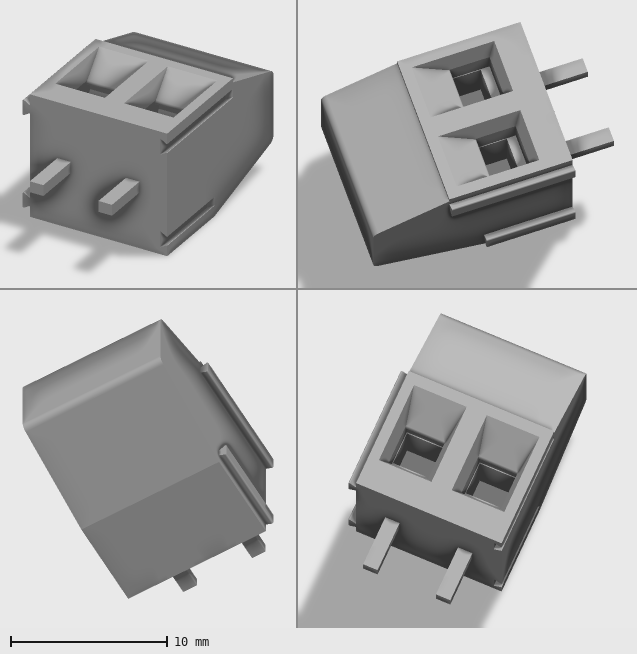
import cadquery as cq
import math


POLE_COUNT = 2
POLE_WIDTH = 5.08
HOUSING_LENGTH = 13.5
HOUSING_HEIGHT = 9.0
MID_HEIGHT = HOUSING_HEIGHT / 2
TOP_FLAT_LENGTH = 8.35
BOTTOM_FLAT_LENGTH = 6.0
SHOULDER_STEP = 0.3
NOSE_TOP_DROP = 1.94
NOSE_BOTTOM_RISE = 1.97
NOSE_RADIUS = 0.5

TOTAL_LENGTH = 17
PIN_LENGTH = TOTAL_LENGTH - HOUSING_LENGTH
PIN_WIDTH = 1.0
PIN_HEIGHT = 0.8

DOVETAIL_OFFSET = 3.4
DOVETAIL_DEPTH = 0.55
NECK_HALF_HEIGHT = 0.32
NECK_DEPTH = 0.05
FLARE = 0.29
RIB_TIP_RADIUS = 0.08
RIB_NECK_RADIUS = 0.15

FUNNEL_WIDTH = 3.67
FUNNEL_START = 2.02
FUNNEL_END = 7.6
FUNNEL_DEPTH = 1.2

CHAMBER_WIDTH = 2.74
CHAMBER_START = 2.5
CHAMBER_END = 5.29

SLOT_WIDTH = 2.65
SLOT_START = 3.11
SLOT_FLOOR = 3.06
LEDGE_HEIGHT = 6.27

LIP_OVERHANG = 0.1
LIP_ROUND_HEIGHT = 0.19
LIP_THICKNESS = 0.27
RECESS_DEPTH = 0.46
ROLLER_RADIUS = 1.05
ROLLER_SETBACK = 0.2
ROLLER_HEIGHT = LEDGE_HEIGHT
SLOT_SETBACK = 0.14

FUNNEL_FLOOR = HOUSING_HEIGHT - FUNNEL_DEPTH
LIP_FRONT = CHAMBER_END - LIP_OVERHANG
LIP_BOTTOM = FUNNEL_FLOOR - LIP_THICKNESS


def box_between(x_range, y_range, z_range):
    """Box spanning the three given ranges."""
    size = [high - low for low, high in (x_range, y_range, z_range)]
    corner = (x_range[0], y_range[0], z_range[0])
    return cq.Workplane("XY").box(*size, centered=False).translate(corner)


def shell_block():
    """Plain housing of one pole, centred on X = 0."""
    outline = [
        (0, 0),
        (BOTTOM_FLAT_LENGTH, 0),
        (HOUSING_LENGTH, NOSE_BOTTOM_RISE),
        (HOUSING_LENGTH, HOUSING_HEIGHT - NOSE_TOP_DROP),
        (TOP_FLAT_LENGTH, HOUSING_HEIGHT - SHOULDER_STEP),
        (TOP_FLAT_LENGTH, HOUSING_HEIGHT),
        (0, HOUSING_HEIGHT),
    ]
    block = cq.Workplane("YZ").polyline(outline).close().extrude(POLE_WIDTH / 2, both=True)
    return block.edges("|X and >Y").fillet(NOSE_RADIUS)


def pin():
    """Square-cut solder pin, centred on the pin-side face."""
    return box_between(
        (-PIN_WIDTH / 2, PIN_WIDTH / 2),
        (-PIN_LENGTH, 0),
        (MID_HEIGHT - PIN_HEIGHT / 2, MID_HEIGHT + PIN_HEIGHT / 2),
    )


def dovetail(root_x, center_z, length):
    """Sharp-edged dovetail bar along Y that widens towards -X from its root."""
    tip_half_height = NECK_HALF_HEIGHT + FLARE
    neck_x = root_x - NECK_DEPTH
    tip_x = root_x - DOVETAIL_DEPTH
    outline = [
        (root_x, center_z - NECK_HALF_HEIGHT),
        (neck_x, center_z - NECK_HALF_HEIGHT),
        (tip_x, center_z - tip_half_height),
        (tip_x, center_z + tip_half_height),
        (neck_x, center_z + NECK_HALF_HEIGHT),
        (root_x, center_z + NECK_HALF_HEIGHT),
    ]
    return cq.Workplane("XZ").polyline(outline).close().extrude(-length)


def rib(center_z, length):
    """Dovetail rib with rounded tip and rounded neck."""
    root_x = -POLE_WIDTH / 2
    bar = dovetail(root_x, center_z, length)
    bar = bar.edges("|Y and <X").fillet(RIB_TIP_RADIUS)
    neck_edges = cq.selectors.BoxSelector(
        (root_x - NECK_DEPTH * 1.5, 0, 0),
        (root_x - NECK_DEPTH / 2, length, HOUSING_HEIGHT),
    )
    return bar.edges("|Y").edges(neck_edges).fillet(RIB_NECK_RADIUS)


def funnel():
    """Tapered wire entry, from the mouth in the top face down to the chamber."""
    mouth_center = (FUNNEL_START + FUNNEL_END) / 2
    floor_center = (CHAMBER_START + CHAMBER_END) / 2
    return (
        cq.Workplane("XY", origin=(0, mouth_center, HOUSING_HEIGHT))
        .rect(FUNNEL_WIDTH, FUNNEL_END - FUNNEL_START)
        .workplane(offset=-FUNNEL_DEPTH)
        .center(0, floor_center - mouth_center)
        .rect(CHAMBER_WIDTH, CHAMBER_END - CHAMBER_START)
        .loft(ruled=True)
    )


def chamber():
    """Wire chamber with its rounded lip, the recess below it and the clamp roller."""
    recess_back = LIP_FRONT + RECESS_DEPTH
    lip_mid_angle = math.radians(45)
    lip_mid_point = (
        CHAMBER_END - LIP_OVERHANG * math.sin(lip_mid_angle),
        FUNNEL_FLOOR - LIP_ROUND_HEIGHT * (1 - math.cos(lip_mid_angle)),
    )
    cavity = (
        cq.Workplane("YZ")
        .moveTo(CHAMBER_START, FUNNEL_FLOOR)
        .lineTo(CHAMBER_START, LEDGE_HEIGHT)
        .lineTo(recess_back, LEDGE_HEIGHT)
        .lineTo(recess_back, LIP_BOTTOM)
        .lineTo(LIP_FRONT, LIP_BOTTOM)
        .lineTo(LIP_FRONT, FUNNEL_FLOOR - LIP_ROUND_HEIGHT)
        .threePointArc(lip_mid_point, (CHAMBER_END, FUNNEL_FLOOR))
        .close()
        .extrude(CHAMBER_WIDTH / 2, both=True)
    )
    roller_center = LIP_FRONT + ROLLER_SETBACK + ROLLER_RADIUS
    roller = (
        cq.Workplane("YZ", origin=(0, roller_center, ROLLER_HEIGHT))
        .circle(ROLLER_RADIUS)
        .extrude(CHAMBER_WIDTH / 2, both=True)
    )
    return cavity.cut(roller)


def clamp_slot():
    """Slot that continues the chamber downwards, leaving a ledge around it."""
    return box_between(
        (-SLOT_WIDTH / 2, SLOT_WIDTH / 2),
        (SLOT_START, LIP_FRONT + SLOT_SETBACK),
        (SLOT_FLOOR, LEDGE_HEIGHT),
    )


def pole():
    """One pole of the terminal block, centred on X = 0, without dovetails."""
    return shell_block().union(pin()).cut(funnel()).cut(chamber()).cut(clamp_slot())


DOVETAILS = [
    (MID_HEIGHT + DOVETAIL_OFFSET, TOP_FLAT_LENGTH),
    (MID_HEIGHT - DOVETAIL_OFFSET, BOTTOM_FLAT_LENGTH),
]


def pole_at(index):
    """Pole number `index`; only the outer sides of the row carry dovetails."""
    body = pole()
    for center_z, length in DOVETAILS:
        if index == 0:
            body = body.union(rib(center_z, length))
        if index == POLE_COUNT - 1:
            body = body.cut(dovetail(POLE_WIDTH / 2, center_z, length))
    return body.translate(((index - (POLE_COUNT - 1) / 2) * POLE_WIDTH, 0, 0))


poles = [pole_at(index) for index in range(POLE_COUNT)]

result = cq.Compound.makeCompound([body.val() for body in poles])